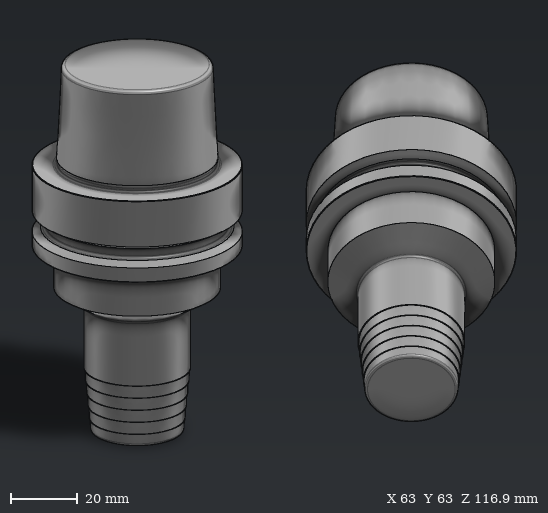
import cadquery as cq
import math


shank_height = 31.9
gauge_radius = 24.005
gauge_height = 6.3
taper_slope = 0.05
shank_tip_fillet = 1.2
shank_overlap = 1.0

undercut_top = 2.2
undercut_radius = 23.97
undercut_shank_angle = 15.0
undercut_outer_radius = 25.2
undercut_face_angle = 8.0
undercut_fillet = 0.6

flange_radius = 31.5
flange_thickness = 26.0
flange_edge_chamfer = 0.2
groove_centre_depth = 18.0
groove_width = 6.7
groove_root_radius = 27.5
groove_flank_angle = 60.0
groove_root_width = 3.8
groove_fillet = 0.8

collar_radius = 25.0
collar_bottom = -39.2
collar_cone_angle = 60.0
stem_radius = 16.0
stem_fillet = 1.0

nose_bottom = -85.0
nose_ring_count = 5
nose_ring_height = 4.0
nose_ring_step = 0.22
nose_ring_angle = 2.5
nose_tip_radius = 13.98
nose_tip_fillet = 0.9


def revolve_profile(points):
    """Revolve a closed (radius, height) outline about the Z axis."""
    return cq.Workplane("XZ").polyline(points).close().revolve(360, (0, 0), (0, 1))


def fillet_at(body, radius, height, size):
    """Round the circular edge of the given radius and height, and any smaller one level with it."""
    tolerance = 0.01
    box = cq.selectors.BoxSelector(
        (-radius - tolerance, -radius - tolerance, height - tolerance),
        (radius + tolerance, radius + tolerance, height + tolerance),
        boundingbox=True,
    )
    return body.edges(box).edges("%CIRCLE").fillet(size)


def taper_radius(height):
    """Radius of the taper at a height, set by its gauge circle."""
    return gauge_radius - (height - gauge_height) * taper_slope


def tangent(degrees):
    return math.tan(math.radians(degrees))


def make_shank():
    """Taper shank with a rounded tip."""
    tip_radius = taper_radius(shank_height)
    shank = revolve_profile([
        (0, -shank_overlap),
        (taper_radius(-shank_overlap), -shank_overlap),
        (tip_radius, shank_height),
        (0, shank_height),
    ])
    return shank.faces(">Z").edges().fillet(shank_tip_fillet)


def cut_undercut(body):
    """Relief in the corner, run out at a shallow angle on the taper and on the face."""
    top_radius = taper_radius(undercut_top)
    runout = (top_radius - undercut_radius) / tangent(undercut_shank_angle)
    face_run = undercut_outer_radius - undercut_radius
    floor = -face_run * tangent(undercut_face_angle)
    undercut = revolve_profile([
        (undercut_radius, floor),
        (undercut_outer_radius, 0),
        (undercut_outer_radius, undercut_top),
        (top_radius, undercut_top),
        (undercut_radius, undercut_top - runout),
    ])
    undercut = fillet_at(undercut, undercut_radius, floor, undercut_fillet)
    return body.cut(undercut)


def make_flange():
    """Plain disc with broken edges."""
    flange = cq.Workplane("XY").circle(flange_radius).extrude(-flange_thickness)
    return flange.faces("|Z").edges().chamfer(flange_edge_chamfer)


def cut_groove(body):
    """V flanks leading to a square root with rounded corners."""
    flank_depth = (groove_width - groove_root_width) / 2 * tangent(groove_flank_angle)
    flank_foot_radius = flange_radius - flank_depth
    top = -groove_centre_depth + groove_width / 2
    bottom = -groove_centre_depth - groove_width / 2
    root_top = -groove_centre_depth + groove_root_width / 2
    root_bottom = -groove_centre_depth - groove_root_width / 2
    groove = revolve_profile([
        (groove_root_radius, root_bottom),
        (flank_foot_radius, root_bottom),
        (flange_radius, bottom),
        (flange_radius, top),
        (flank_foot_radius, root_top),
        (groove_root_radius, root_top),
    ])
    for height in (root_bottom, root_top):
        groove = fillet_at(groove, groove_root_radius, height, groove_fillet)
    return body.cut(groove)


def make_stem():
    """Collar, cone and straight stem."""
    cone_height = (collar_radius - stem_radius) / tangent(collar_cone_angle)
    cone_bottom = collar_bottom - cone_height
    nose_top = nose_bottom + nose_ring_count * nose_ring_height
    stem = revolve_profile([
        (0, -flange_thickness),
        (collar_radius, -flange_thickness),
        (collar_radius, collar_bottom),
        (stem_radius, cone_bottom),
        (stem_radius, nose_top),
        (0, nose_top),
    ])
    return fillet_at(stem, stem_radius, cone_bottom, stem_fillet)


def make_nose():
    """Stack of tapered rings, each a step narrower than the one above."""
    nose = cq.Workplane("XY")
    ring_taper = nose_ring_height * tangent(nose_ring_angle)
    for ring in range(nose_ring_count):
        bottom = nose_bottom + ring * nose_ring_height
        bottom_radius = nose_tip_radius + ring * (ring_taper + nose_ring_step)
        nose = nose.union(revolve_profile([
            (0, bottom),
            (bottom_radius, bottom),
            (bottom_radius + ring_taper, bottom + nose_ring_height),
            (0, bottom + nose_ring_height),
        ]))
    return nose.faces("<Z").edges().fillet(nose_tip_fillet)


body = make_flange().union(make_shank())
body = cut_undercut(body)
body = cut_groove(body)
result = body.union(make_stem()).union(make_nose())